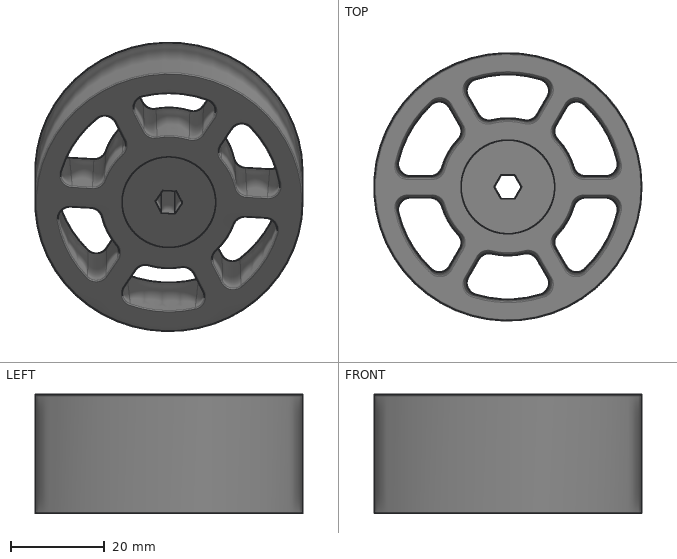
import cadquery as cq
import math

wheel_diameter = 57.15
wheel_width = 25.4
edge_radius = 0.254

hub_diameter = 20.0
hex_across_flats = 5.0

spoke_count = 6
spoke_width = 3.8
window_inner_radius = 14.25
window_outer_radius = 24.4
window_corner_radius = 2.54
draft_angle = 1.0

spoke_pitch = 360 / spoke_count


def spoke_corner(radius):
    """Point where a circle of this radius meets the spoke flank to the right of +Y."""
    half_pitch = math.radians(spoke_pitch / 2)
    angle = math.pi / 2 - half_pitch + math.asin(spoke_width / 2 / radius)
    return radius * math.cos(angle), radius * math.sin(angle)


def make_window():
    """Window cutter centred on +Y, narrowing downwards from the top face of the wheel."""
    inner_x, inner_y = spoke_corner(window_inner_radius)
    outer_x, outer_y = spoke_corner(window_outer_radius)
    window = (
        cq.Workplane("XY")
        .moveTo(inner_x, inner_y)
        .lineTo(outer_x, outer_y)
        .threePointArc((0, window_outer_radius), (-outer_x, outer_y))
        .lineTo(-inner_x, inner_y)
        .threePointArc((0, window_inner_radius), (inner_x, inner_y))
        .close()
        .extrude(-wheel_width, taper=draft_angle)
        .translate((0, 0, wheel_width))
    )
    return window.edges("not(<Z or >Z)").fillet(window_corner_radius)


def make_wheel():
    """Spoked wheel with a round bore for the hub and every window and rim edge rounded."""
    wheel = cq.Workplane("XY").circle(wheel_diameter / 2).extrude(wheel_width)
    window = make_window()
    for index in range(spoke_count):
        wheel = wheel.cut(window.rotate((0, 0, 0), (0, 0, 1), index * spoke_pitch))
    wheel = wheel.faces("<Z or >Z").edges().fillet(edge_radius)
    hub_bore = cq.Workplane("XY").circle(hub_diameter / 2).extrude(wheel_width)
    return wheel.cut(hub_bore)


def make_hub():
    """Full-width cylinder filling the wheel bore, with a hexagonal shaft hole."""
    hex_across_corners = hex_across_flats / math.cos(math.pi / 6)
    return (
        cq.Workplane("XY")
        .circle(hub_diameter / 2)
        .polygon(6, hex_across_corners)
        .extrude(wheel_width)
    )


wheel = make_wheel()
hub = make_hub()
result = cq.Compound.makeCompound([wheel.val(), hub.val()])